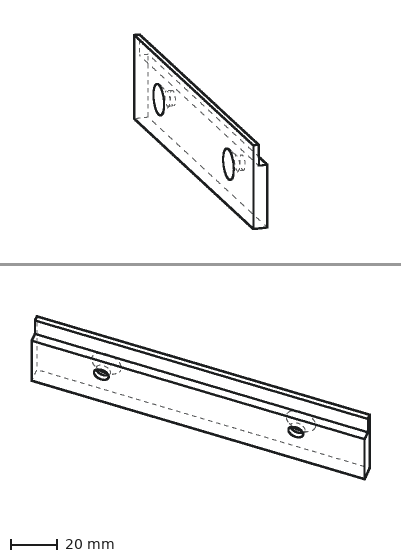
import cadquery as cq

length = 152.4
thickness = 6.4
height = 38.1

lip_thickness = 2.5
lip_height = height / 4

hole_spacing = 89.0
first_hole_x = 31.5
hole_z = height / 2
hole_diameter = 6.7
sink_diameter = 13.5
sink_angle = 82.0

shoulder_z = height - lip_height
plate = (
    cq.Workplane("YZ")
    .polyline([
        (0, 0),
        (thickness, 0),
        (thickness, shoulder_z),
        (lip_thickness, shoulder_z),
        (lip_thickness, height),
        (0, height),
    ])
    .close()
    .extrude(length)
)

hole_centers = [(first_hole_x + i * hole_spacing, hole_z) for i in range(2)]
result = (
    plate.faces("<Y")
    .workplane(origin=(0, 0, 0))
    .pushPoints(hole_centers)
    .cskHole(hole_diameter, sink_diameter, sink_angle)
)